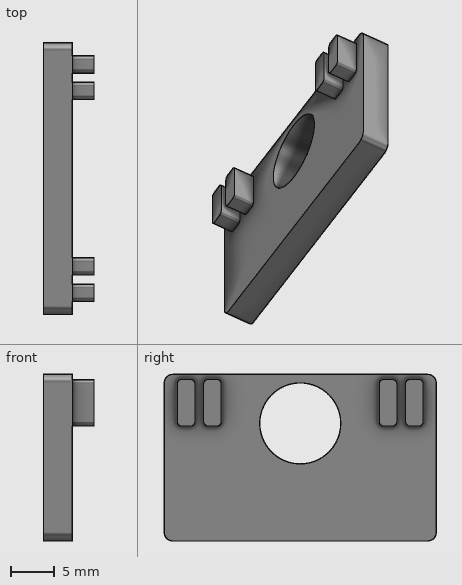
import cadquery as cq

plate_thickness = 3.3
plate_width = 31.0
plate_height = 19.0
plate_corner_radius = 1.0

hole_diameter = 9.2
hole_top_wall = 1.0
hole_center_z = plate_height / 2 - hole_top_wall - hole_diameter / 2

total_depth = 5.8
peg_length = total_depth - plate_thickness
peg_width = 2.0
peg_height = 5.3
peg_corner_radius = 0.5
peg_top_margin = 0.6
peg_end_margin = 1.5
peg_pitch = 3.0
peg_center_z = plate_height / 2 - peg_top_margin - peg_height / 2
outer_peg_y = plate_width / 2 - peg_end_margin - peg_width / 2
inner_peg_y = outer_peg_y - peg_pitch


def make_plate():
    """Rectangular plate with rounded corners and its front face at X = 0."""
    return (
        cq.Workplane("YZ")
        .rect(plate_width, plate_height)
        .extrude(plate_thickness)
        .edges("|X")
        .fillet(plate_corner_radius)
    )


def make_hole():
    """Cylinder that cuts the hole through the full plate thickness."""
    return (
        cq.Workplane("YZ")
        .center(0, hole_center_z)
        .circle(hole_diameter / 2)
        .extrude(plate_thickness)
    )


def make_pegs():
    """Four rounded pegs standing on the back face, mirrored about the middle."""
    peg_centers = [
        (side * peg_y, peg_center_z)
        for side in (-1, 1)
        for peg_y in (inner_peg_y, outer_peg_y)
    ]
    return (
        cq.Workplane("YZ", origin=(plate_thickness, 0, 0))
        .pushPoints(peg_centers)
        .rect(peg_width, peg_height)
        .extrude(peg_length)
        .edges("|X")
        .fillet(peg_corner_radius)
    )


result = make_plate().cut(make_hole()).union(make_pegs())